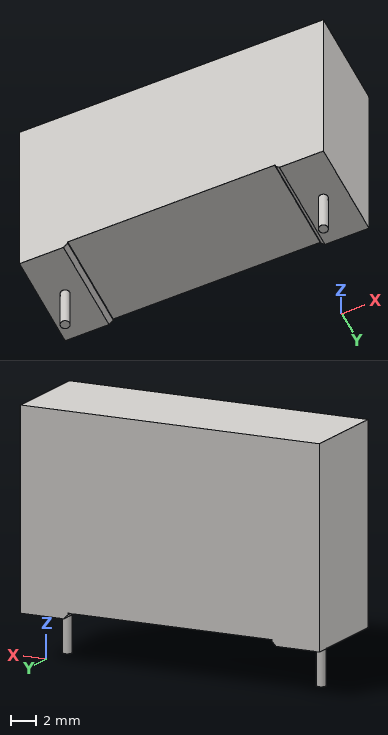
import cadquery as cq

body_length = 26.5
body_width = 8.5
body_height = 17.0

recess_length = 18.07
recess_depth = 0.5
mouth_chamfer = 0.37

lead_diameter = 0.8
lead_spacing = 22.5
lead_drop = 3.98
lead_embed = 1.32


def make_body():
    return cq.Workplane("XY").box(
        body_length, body_width, body_height, centered=(True, True, False)
    )


def make_recess():
    half_length = recess_length / 2
    half_mouth = half_length + mouth_chamfer
    return (
        cq.Workplane("XZ")
        .moveTo(-half_mouth, 0)
        .lineTo(half_mouth, 0)
        .lineTo(half_length, mouth_chamfer)
        .lineTo(half_length, recess_depth)
        .lineTo(-half_length, recess_depth)
        .lineTo(-half_length, mouth_chamfer)
        .close()
        .extrude(body_width / 2, both=True)
    )


def make_lead(x):
    return (
        cq.Workplane("XY", origin=(x, 0, -lead_drop))
        .circle(lead_diameter / 2)
        .extrude(lead_drop + lead_embed)
    )


result = make_body().cut(make_recess())
for side in (-1, 1):
    result = result.union(make_lead(side * lead_spacing / 2))